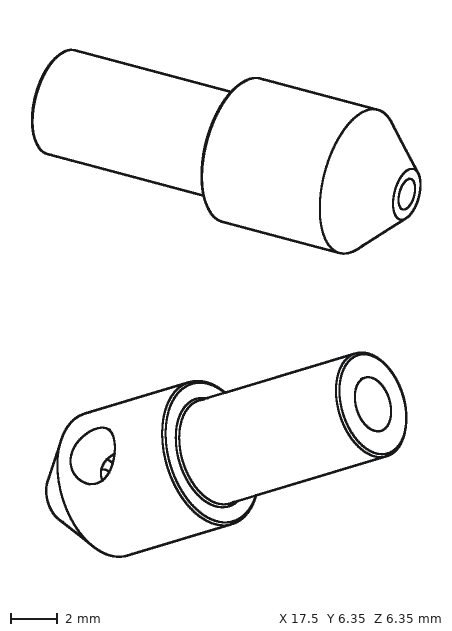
import cadquery as cq

total_length = 17.5
shank_length = 9.06
nose_length = 2.42
nose_start = total_length - nose_length

body_radius = 6.35 / 2
shank_radius = 4.6 / 2
tip_radius = 2.24 / 2

edge_chamfer = 0.1
root_chamfer = 0.1

wide_bore_radius = 2.38 / 2
narrow_bore_radius = 1.35 / 2
wide_bore_depth = nose_start

screw_hole_radius = 2.5 / 2
screw_hole_x = 13.09


def turned_body():
    """Revolve the outer profile (shank, body and conical nose) about X."""
    profile = (
        cq.Workplane("XY")
        .lineTo(0, shank_radius - edge_chamfer)
        .lineTo(edge_chamfer, shank_radius)
        .lineTo(shank_length - root_chamfer, shank_radius)
        .lineTo(shank_length, shank_radius + root_chamfer)
        .lineTo(shank_length, body_radius - edge_chamfer)
        .lineTo(shank_length + edge_chamfer, body_radius)
        .lineTo(nose_start, body_radius)
        .lineTo(total_length, tip_radius)
        .lineTo(total_length, 0)
        .close()
    )
    return profile.revolve(360, (0, 0, 0), (1, 0, 0))


def axial_bore():
    """Stepped bore running right through the part."""
    wide = cq.Workplane("YZ").circle(wide_bore_radius).extrude(wide_bore_depth)
    narrow = cq.Workplane("YZ").circle(narrow_bore_radius).extrude(total_length)
    return wide.union(narrow)


def screw_hole():
    """Radial hole from the +Y side, ending on the bore axis."""
    return cq.Workplane("XZ").center(screw_hole_x, 0).circle(screw_hole_radius).extrude(-body_radius)


result = turned_body().cut(axial_bore()).cut(screw_hole())